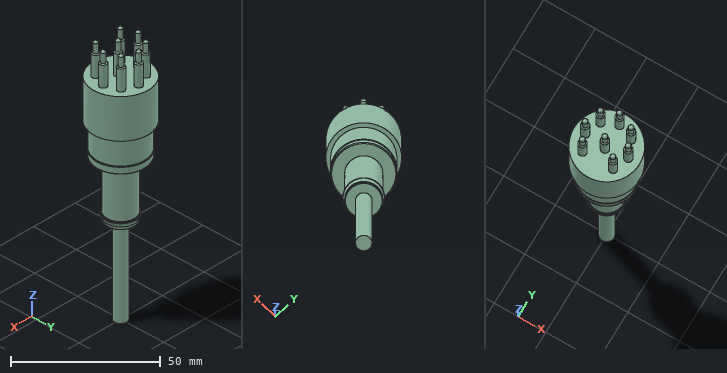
import cadquery as cq
import math

total_height = 111.8
pin_shoulder_z = 106.7
head_top_z = 97.5
head_bottom_z = 79.6
groove_z = 68.3
barrel_bottom_z = 65.2
collar_top_z = 43.3
collar_bottom_z = 39.9

head_diameter = 25.4
barrel_diameter = 22.1
groove_width = 0.5
groove_depth = 0.1
barrel_chamfer = 0.3
stem_diameter = 12.7
stem_chamfer = 0.2

collar_diameter = 14.0
collar_chamfer = 0.2
collar_rim_height = 0.5
collar_taper_height = 1.7

pin_base_diameter = 3.1
pin_tip_diameter = 2.0
pin_shoulder_rise = 0.3
pin_dome_height = 0.8
pin_circle_radius = 8.4
pin_step_angle = 45
outer_pin_count = 7
first_pin_angle = -pin_step_angle
inner_pin_y = -1.2

cable_diameter = 5.6


def make_shell():
    """Head, barrel, stem and snap collar as one turned profile."""
    head_r = head_diameter / 2
    barrel_r = barrel_diameter / 2
    stem_r = stem_diameter / 2
    collar_r = collar_diameter / 2
    groove_r = barrel_r - groove_depth
    groove_top_z = groove_z + groove_width / 2
    groove_bottom_z = groove_z - groove_width / 2
    rim_bottom_z = collar_top_z - collar_rim_height
    taper_bottom_z = rim_bottom_z - collar_taper_height
    outline = [
        (0, collar_bottom_z),
        (stem_r - stem_chamfer, collar_bottom_z),
        (stem_r, collar_bottom_z + stem_chamfer),
        (stem_r, taper_bottom_z),
        (collar_r, rim_bottom_z),
        (collar_r, collar_top_z - collar_chamfer),
        (collar_r - collar_chamfer, collar_top_z),
        (stem_r, collar_top_z),
        (stem_r, barrel_bottom_z),
        (barrel_r - barrel_chamfer, barrel_bottom_z),
        (barrel_r, barrel_bottom_z + barrel_chamfer),
        (barrel_r, groove_bottom_z),
        (groove_r, groove_bottom_z),
        (groove_r, groove_top_z),
        (barrel_r, groove_top_z),
        (barrel_r, head_bottom_z),
        (head_r, head_bottom_z),
        (head_r, head_top_z),
        (0, head_top_z),
    ]
    return cq.Workplane("XZ").polyline(outline).close().revolve(360, (0, 0), (0, 1))


def make_pin(x, y):
    """Stepped pin with a sloped shoulder and a domed tip, standing on the head."""
    base_r = pin_base_diameter / 2
    tip_r = pin_tip_diameter / 2
    dome_base_z = total_height - pin_dome_height
    dome_r = (tip_r**2 + pin_dome_height**2) / (2 * pin_dome_height)
    half_angle = math.asin(tip_r / dome_r) / 2
    dome_mid = (
        dome_r * math.sin(half_angle),
        total_height - dome_r * (1 - math.cos(half_angle)),
    )
    profile = (
        cq.Workplane("XZ")
        .moveTo(0, head_top_z)
        .lineTo(base_r, head_top_z)
        .lineTo(base_r, pin_shoulder_z)
        .lineTo(tip_r, pin_shoulder_z + pin_shoulder_rise)
        .lineTo(tip_r, dome_base_z)
        .threePointArc(dome_mid, (0, total_height))
        .close()
    )
    return profile.revolve(360, (0, 0), (0, 1)).translate((x, y, 0))


def make_housing():
    """Shell with its moulded-in pins: an open ring of outer pins and one near the centre."""
    body = make_shell()
    for index in range(outer_pin_count):
        angle = math.radians(first_pin_angle + index * pin_step_angle)
        x = pin_circle_radius * math.cos(angle)
        y = pin_circle_radius * math.sin(angle)
        body = body.union(make_pin(x, y))
    return body.union(make_pin(0, inner_pin_y))


def make_cable():
    """Plain round cable that ends against the underside of the collar."""
    return cq.Workplane("XY").circle(cable_diameter / 2).extrude(collar_bottom_z)


housing = make_housing()
cable = make_cable()

result = cq.Compound.makeCompound([housing.val(), cable.val()])